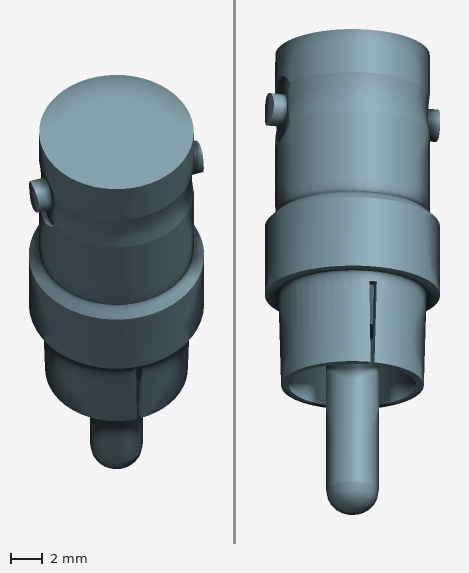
import cadquery as cq
import math

TOTAL_HEIGHT = 30.5
PIN_DOME_HEIGHT = 1.5
SKIRT_BOTTOM = 8.5
COLLAR_BOTTOM = 14.5
COLLAR_TOP = 19.72
COLLAR_CHAMFER_HEIGHT = 0.65
BAYONET_Z = 26.35

PIN_RADIUS = 1.65
COLLAR_RADIUS = 5.5
BODY_RADIUS = 4.85
SKIRT_TOP_RADIUS = 4.65
SKIRT_MIDDLE_RADIUS = 4.55
SKIRT_BOTTOM_RADIUS = 4.48

GROOVE_HALF_HEIGHT = 1.28
GROOVE_DEPTH = 0.13

STUD_RADIUS = 1.02
STUD_END_RADIUS = 5.525
RECESS_FLOOR_Y = 4.56
RECESS_FLOOR_RADIUS = 2.07
RECESS_RIM_RADIUS = 2.22

CAVITY_RADIUS = 4.0
CAVITY_TOP = 11.2
SLOT_TOP = 13.85
SLOT_TOP_WIDTH = 0.48
SLOT_BOTTOM_WIDTH = 0.26


def make_turned_body():
    """Revolve pin, skirt, collar and grooved body as one profile."""
    dome_flat_radius = PIN_RADIUS - PIN_DOME_HEIGHT
    dome_mid_offset = PIN_DOME_HEIGHT * math.sin(math.radians(45))
    profile = (
        cq.Workplane("XZ")
        .moveTo(0, 0)
        .lineTo(dome_flat_radius, 0)
        .threePointArc(
            (dome_flat_radius + dome_mid_offset, PIN_DOME_HEIGHT - dome_mid_offset),
            (PIN_RADIUS, PIN_DOME_HEIGHT),
        )
        .lineTo(PIN_RADIUS, CAVITY_TOP)
        .lineTo(CAVITY_RADIUS, CAVITY_TOP)
        .lineTo(CAVITY_RADIUS, SKIRT_BOTTOM)
        .lineTo(SKIRT_BOTTOM_RADIUS, SKIRT_BOTTOM)
        .threePointArc(
            (SKIRT_MIDDLE_RADIUS, (SKIRT_BOTTOM + COLLAR_BOTTOM) / 2),
            (SKIRT_TOP_RADIUS, COLLAR_BOTTOM),
        )
        .lineTo(COLLAR_RADIUS, COLLAR_BOTTOM)
        .lineTo(COLLAR_RADIUS, COLLAR_TOP - COLLAR_CHAMFER_HEIGHT)
        .lineTo(BODY_RADIUS, COLLAR_TOP)
        .lineTo(BODY_RADIUS, BAYONET_Z - GROOVE_HALF_HEIGHT)
        .threePointArc(
            (BODY_RADIUS - GROOVE_DEPTH, BAYONET_Z),
            (BODY_RADIUS, BAYONET_Z + GROOVE_HALF_HEIGHT),
        )
        .lineTo(BODY_RADIUS, TOTAL_HEIGHT)
        .lineTo(0, TOTAL_HEIGHT)
        .close()
    )
    return profile.revolve(360, (0, 0, 0), (0, 1, 0))


def make_recess(side):
    """Tapered round cutter whose floor is flat; side is +1 or -1 along Y."""
    slope = (RECESS_RIM_RADIUS - RECESS_FLOOR_RADIUS) / (BODY_RADIUS - RECESS_FLOOR_Y)
    depth = COLLAR_RADIUS - RECESS_FLOOR_Y
    return cq.Workplane(
        cq.Solid.makeCone(
            RECESS_FLOOR_RADIUS,
            RECESS_FLOOR_RADIUS + slope * depth,
            depth,
            cq.Vector(0, side * RECESS_FLOOR_Y, BAYONET_Z),
            cq.Vector(0, side, 0),
        )
    )


def make_studs():
    """Cross bar through the body, its ends rounded to a cylinder about Z."""
    bar = (
        cq.Workplane("XZ", origin=(0, 0, BAYONET_Z))
        .circle(STUD_RADIUS)
        .extrude(COLLAR_RADIUS + STUD_RADIUS, both=True)
    )
    end_limit = (
        cq.Workplane("XY", origin=(0, 0, BAYONET_Z))
        .circle(STUD_END_RADIUS)
        .extrude(COLLAR_RADIUS, both=True)
    )
    return bar.intersect(end_limit)


def make_slots():
    """Cutter for both wall slots: narrower at the bottom, stopping at the cavity radius."""
    tapered_bar = (
        cq.Workplane("YZ")
        .moveTo(-SLOT_BOTTOM_WIDTH / 2, SKIRT_BOTTOM)
        .lineTo(SLOT_BOTTOM_WIDTH / 2, SKIRT_BOTTOM)
        .lineTo(SLOT_TOP_WIDTH / 2, SLOT_TOP)
        .lineTo(-SLOT_TOP_WIDTH / 2, SLOT_TOP)
        .close()
        .extrude(COLLAR_RADIUS, both=True)
    )
    core = cq.Workplane("XY").circle(CAVITY_RADIUS).extrude(TOTAL_HEIGHT)
    return tapered_bar.cut(core)


result = make_turned_body()
for y_side in (-1, 1):
    result = result.cut(make_recess(y_side))
result = result.union(make_studs()).cut(make_slots())